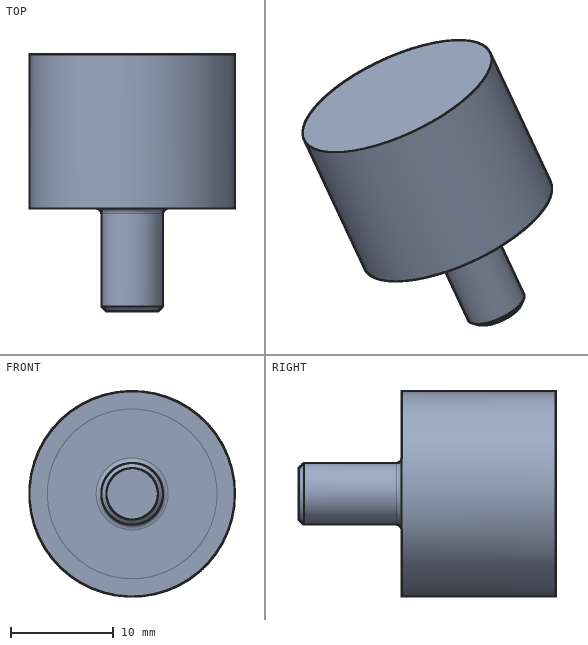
import cadquery as cq

body_diameter = 20.0
body_length = 15.0
plate_diameter = 16.5
stud_diameter = 6.0
stud_length = 10.0
stud_tip_chamfer = 0.5
stud_root_fillet = 0.5

body_radius = body_diameter / 2
plate_radius = plate_diameter / 2
stud_radius = stud_diameter / 2


def make_half_section():
    """Half section: X is the radius, Y runs along the part axis, stud towards -Y."""
    return (
        cq.Workplane("XY")
        .moveTo(0, -stud_length)
        .lineTo(stud_radius - stud_tip_chamfer, -stud_length)
        .lineTo(stud_radius, -stud_length + stud_tip_chamfer)
        .lineTo(stud_radius, -stud_root_fillet)
        .radiusArc((stud_radius + stud_root_fillet, 0), stud_root_fillet)
        .lineTo(plate_radius, 0)
        .lineTo(body_radius, 0)
        .lineTo(body_radius, body_length)
        .lineTo(0, body_length)
        .close()
    )


result = make_half_section().revolve(360, (0, 0, 0), (0, 1, 0), clean=False)